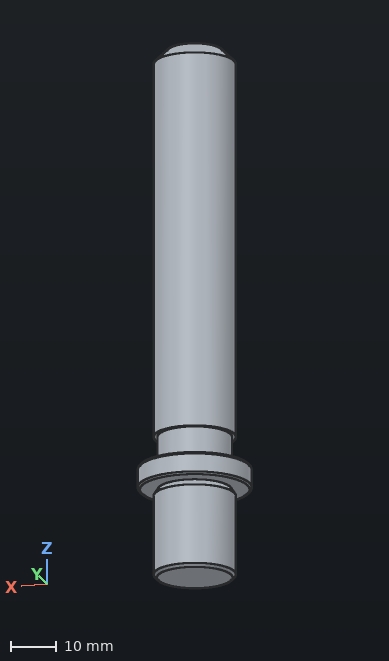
import cadquery as cq

total_length = 120.0
shaft_radius = 9.0
tip_chamfer = 3.0
base_chamfer = 0.7

flange_radius = 12.5
flange_bottom = 20.0
flange_thickness = 5.0
flange_chamfer = 0.5
flange_top = flange_bottom + flange_thickness

neck_radius = 8.2
neck_length = 7.0
neck_top = flange_top + neck_length

relief_radius = 8.0
relief_height = 1.5
spigot_top = flange_bottom - relief_height


def cylinder(radius, bottom, top):
    """Solid cylinder about the Z axis between two heights."""
    return cq.Workplane("XY").workplane(offset=bottom).circle(radius).extrude(top - bottom)


def make_relief():
    """Cone that narrows from the spigot up to the flange."""
    profile = (
        cq.Workplane("XZ")
        .moveTo(0, spigot_top)
        .lineTo(shaft_radius, spigot_top)
        .lineTo(relief_radius, flange_bottom)
        .lineTo(0, flange_bottom)
        .close()
    )
    return profile.revolve(360, (0, 0, 0), (0, 1, 0))


spigot = cylinder(shaft_radius, 0, spigot_top).faces("<Z").chamfer(base_chamfer)
flange = cylinder(flange_radius, flange_bottom, flange_top).edges().chamfer(flange_chamfer)
neck = cylinder(neck_radius, flange_top, neck_top)
shaft = cylinder(shaft_radius, neck_top, total_length).faces(">Z").chamfer(tip_chamfer)

result = spigot.union(make_relief()).union(flange).union(neck).union(shaft)